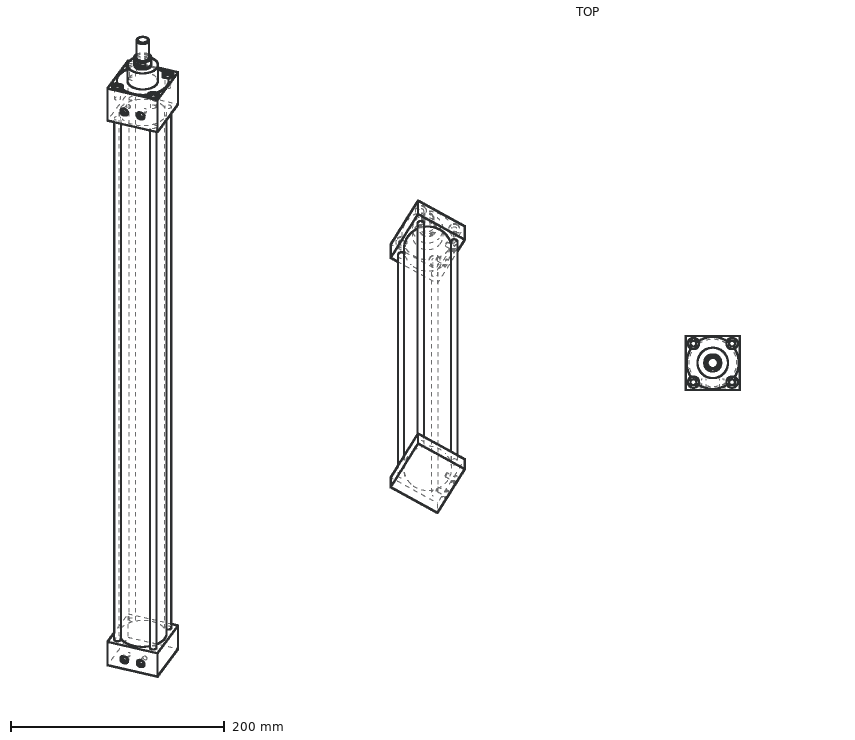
import cadquery as cq

total_height = 695.0
block_side = 51.0
cap_height = 26.5
head_bottom = 613.0
head_top = 649.5

barrel_diameter = 44.5
tie_rod_diameter = 6.0
tie_rod_offset = 18.0

bushing_diameter = 28.5
bushing_top = 667.0
stub_top = 668.0

recess_diameter = 49.0
recess_depth = 1.0

counterbore_diameter = 10.5
counterbore_depth = 2.0
screw_hole_diameter = 5.5
screw_hole_depth = 14.0

front_hole_diameter = 7.5
front_hole_depth = 2.0
front_core_diameter = 4.0
front_core_depth = 10.5
front_hole_offset = 8.0
head_hole_height = 627.0
cap_hole_height = 10.5

rod_diameter = 16.0
flats_width = 12.0
flats_bottom = 670.0
flats_top = 674.5
rod_shoulder = 675.0
tip_diameter = 12.0
tip_chamfer = 1.05


def cylinder(diameter, bottom, top):
    """Upright cylinder on the part's axis."""
    return cq.Workplane("XY", origin=(0, 0, bottom)).circle(diameter / 2).extrude(top - bottom)


def end_block(bottom, top):
    """Square block centred on the part's axis."""
    return cq.Workplane("XY", origin=(0, 0, bottom)).rect(block_side, block_side).extrude(top - bottom)


def corner_cylinders(diameter, bottom, top):
    """Four upright cylinders at the tie rod places."""
    pitch = 2 * tie_rod_offset
    return (
        cq.Workplane("XY", origin=(0, 0, bottom))
        .rect(pitch, pitch, forConstruction=True)
        .vertices()
        .circle(diameter / 2)
        .extrude(top - bottom)
    )


def front_cylinders(diameter, depth):
    """Cylinders reaching back from the front face at each of the front holes."""
    places = [
        (side * front_hole_offset, height)
        for side in (-1, 1)
        for height in (head_hole_height, cap_hole_height)
    ]
    return (
        cq.Workplane("XZ", origin=(0, -block_side / 2, 0))
        .pushPoints(places)
        .circle(diameter / 2)
        .extrude(-depth)
    )


def make_head():
    """Head block with its recess, corner holes, bushing and rod stub."""
    recess = cylinder(recess_diameter, head_top - recess_depth, head_top)
    counterbores = corner_cylinders(counterbore_diameter, head_top - counterbore_depth, head_top)
    screw_holes = corner_cylinders(screw_hole_diameter, head_top - screw_hole_depth, head_top)
    return (
        end_block(head_bottom, head_top)
        .cut(recess)
        .cut(counterbores)
        .cut(screw_holes)
        .union(cylinder(bushing_diameter, head_top - recess_depth, bushing_top))
        .union(cylinder(rod_diameter, bushing_top, stub_top))
    )


def make_housing():
    """Cap, barrel, tie rods and head in one solid, with the front holes cut."""
    return (
        end_block(0, cap_height)
        .union(cylinder(barrel_diameter, cap_height, head_bottom))
        .union(corner_cylinders(tie_rod_diameter, cap_height, head_bottom))
        .union(make_head())
        .cut(front_cylinders(front_hole_diameter, front_hole_depth))
        .cut(front_cylinders(front_core_diameter, front_core_depth))
    )


def make_rod_end():
    """Rod end that sits on the stub, with wrench flats facing front and back."""
    outside_flats = (
        cq.Workplane("XY", origin=(0, 0, flats_bottom))
        .rect(2 * rod_diameter, 2 * rod_diameter)
        .rect(2 * rod_diameter, flats_width)
        .extrude(flats_top - flats_bottom)
    )
    tip = cylinder(tip_diameter, rod_shoulder, total_height).faces(">Z").chamfer(tip_chamfer)
    return cylinder(rod_diameter, stub_top, rod_shoulder).cut(outside_flats).union(tip)


housing = make_housing()
rod_end = make_rod_end()
result = cq.Compound.makeCompound([housing.val(), rod_end.val()])